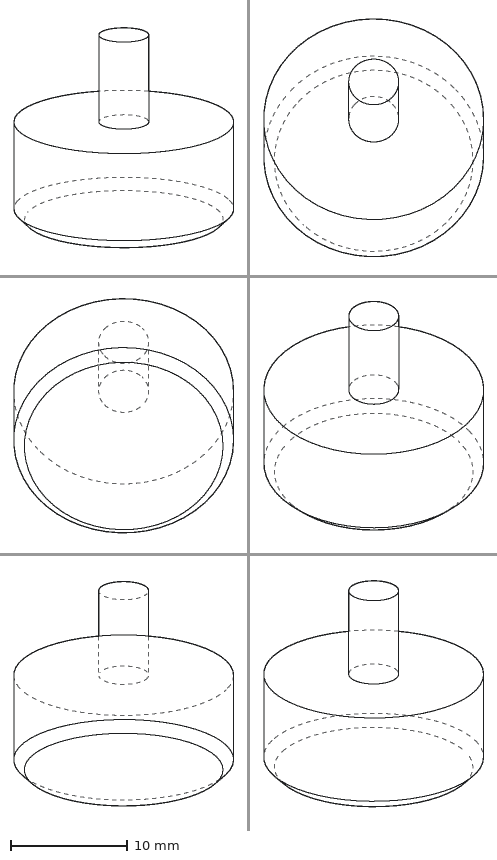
import cadquery as cq

total_height = 19.1
body_diameter = 18.9
stem_diameter = 4.3
stem_height = 7.81
body_height = 7.81
chamfer_size = 0.92

body_radius = body_diameter / 2
stem_radius = stem_diameter / 2
cone_radius = body_radius - chamfer_size
shoulder_level = total_height - stem_height
wall_bottom = shoulder_level - body_height
cone_top = wall_bottom - chamfer_size

half_section = (
    cq.Workplane("XZ")
    .lineTo(cone_radius, cone_top)
    .lineTo(body_radius, wall_bottom)
    .lineTo(body_radius, shoulder_level)
    .lineTo(stem_radius, shoulder_level)
    .lineTo(stem_radius, total_height)
    .lineTo(0, total_height)
    .close()
)

result = half_section.revolve(360, (0, 0, 0), (0, 1, 0))